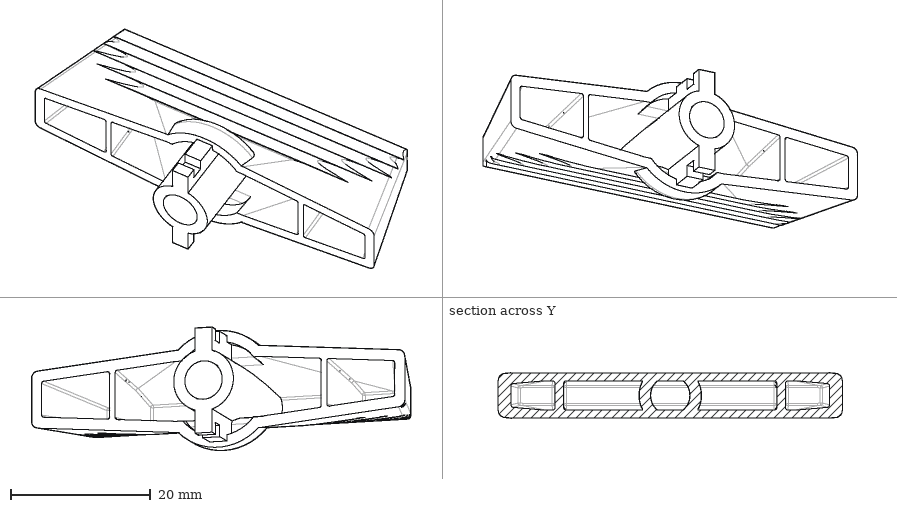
import cadquery as cq


grip_length = 56
grip_height = 18.0
end_slope = 0.26
side_half_width = 6.55
side_taper = 0.088
side_draft = 0.1
end_round = 1.0

rib_count = 4
rib_pitch = 2.3
rib_rise = 0.465
rib_sag = 0.6
top_groove_y = 15.5
top_groove_z = 2.3
top_crest_y = 16.7
top_crest_z = 2.7
top_flat_z = 1.3
flank_end_y = 5.45
flank_half_width = 6.0
flank_draft = 0.18
flank_blend = 0.35

wall = 1.6
end_wall = 1.5
pocket_depth = grip_height - end_wall
pocket_floor_half_length = 21.7
web_inner_x = 15.45
web_outer_x = 16.3
web_draft = 0.3
pocket_round = 0.35

boss_radius = 8.5
boss_height = 4.05
boss_round = 1.5
boss_pocket_radius = boss_radius - wall
boss_pocket_depth = 2.35
boss_lip_round = 1.05

stem_radius = 4.5
stem_bore_radius = 2.8
stem_length = 7.0
key_width = 2.6
key_reach = 7.7
key_root_y = 3.35
notch_low_y = -5.3
notch_high_y = -3.35
notch_floor_z = 6.0


def tapered_section(y, x_start, x_end, inset):
    """Section points of the grip at height y between two X stations, inset from its side planes."""
    def half_width(x):
        return side_half_width - inset - side_taper * abs(x) - side_draft * y

    stations = [x_start, 0, x_end] if x_start < 0 < x_end else [x_start, x_end]
    upper = [(x, half_width(x)) for x in stations]
    lower = [(x, -z) for x, z in reversed(upper)]
    return upper + lower


def tapered_block(height, mouth_span, far_span, inset):
    """Solid between Y = 0 and Y = height, bounded by the (inset) side planes."""
    return (
        cq.Workplane("XZ")
        .polyline(tapered_section(0, *mouth_span, inset)).close()
        .workplane(offset=-height)
        .polyline(tapered_section(height, *far_span, inset)).close()
        .loft(ruled=True, combine=True)
    )


def cylinder(radius, y_start, y_end):
    return cq.Workplane("XZ", origin=(0, y_start, 0)).circle(radius).extrude(y_start - y_end)


def flank_half_width_at(y):
    return flank_half_width - flank_draft * y


def ribbed_prism():
    """Ribbed cross-section extruded along X, built as one half and mirrored about Z = 0."""
    outline = (
        cq.Workplane("YZ", origin=(-grip_length / 2, 0, 0))
        .moveTo(0, 0)
        .lineTo(grip_height, 0)
        .lineTo(grip_height, top_flat_z)
        .threePointArc((top_crest_y, top_crest_z), (top_groove_y, top_groove_z))
    )
    groove_y, groove_z = top_groove_y, top_groove_z
    for _ in range(rib_count):
        crest = (groove_y - rib_pitch / 2, groove_z + rib_rise / 2 + rib_sag)
        groove_y -= rib_pitch
        groove_z += rib_rise
        outline = outline.threePointArc(crest, (groove_y, groove_z))
    flank_end = (flank_end_y, flank_half_width_at(flank_end_y))
    blend_point = (groove_y - flank_blend, flank_end[1] - flank_blend)
    half = (
        outline
        .threePointArc(blend_point, flank_end)
        .lineTo(0, flank_half_width)
        .close()
        .extrude(grip_length)
    )
    return half.union(half.mirror("XY"))


def grip():
    bottom_x = grip_length / 2
    top_x = bottom_x - end_slope * grip_height
    block = tapered_block(grip_height, (-bottom_x, bottom_x), (-top_x, top_x), 0)
    end_edges = block.faces("<X or >X").edges("not <Y")
    return end_edges.fillet(end_round).intersect(ribbed_prism())


def boss():
    return cylinder(boss_radius, 0, boss_height).faces(">Y").edges().fillet(boss_round)


def pockets():
    """Three pockets separated by two webs; their sides follow the flat outer planes."""
    floor_half_width = flank_half_width_at(pocket_depth) - wall
    core = (
        cq.Workplane("YZ", origin=(-grip_length / 2, 0, 0))
        .polyline([
            (0, flank_half_width - wall),
            (pocket_depth, floor_half_width),
            (pocket_depth, -floor_half_width),
            (0, wall - flank_half_width),
        ])
        .close()
        .extrude(grip_length)
    )
    mouth_x = grip_length / 2 - end_wall
    middle = tapered_block(
        pocket_depth,
        (-web_inner_x, web_inner_x),
        (web_draft - web_inner_x, web_inner_x - web_draft),
        wall,
    )
    end = tapered_block(
        pocket_depth,
        (web_outer_x, mouth_x),
        (web_outer_x + web_draft, pocket_floor_half_length),
        wall,
    )
    rounded_faces = ">Y or <X or >X"
    middle = middle.intersect(core).faces(rounded_faces).edges("not <Y").fillet(pocket_round)
    end = end.intersect(core).faces(rounded_faces).edges("not <Y").fillet(pocket_round)
    return middle.union(end).union(end.mirror("YZ"))


def stem_tube(y_end):
    return cylinder(stem_radius, -stem_length, y_end).cut(cylinder(stem_bore_radius, -stem_length, y_end))


def keys():
    """Two opposite keys rooted in the stem wall, each notched on its outer edge."""
    def bar(y_start, y_end, z_start, z_end):
        size = (key_width, y_end - y_start, z_end - z_start)
        return cq.Workplane().box(*size, centered=(True, False, False)).translate((0, y_start, z_start))

    middle_of_tube = (stem_radius + stem_bore_radius) / 2
    key = bar(-stem_length, key_root_y, middle_of_tube, key_reach)
    key = key.cut(bar(notch_low_y, notch_high_y, notch_floor_z, key_reach))
    return key, key.mirror("XY")


def round_boss_lips(body):
    """Round the two edges where the boss pocket floor drops into the middle pocket."""
    lip_z = flank_half_width_at(boss_pocket_depth) - wall
    for side in (1, -1):
        lip = cq.selectors.NearestToPointSelector((0, boss_pocket_depth, side * lip_z))
        body = body.edges(lip).fillet(boss_lip_round)
    return body


solid_handle = grip().union(boss())
hollow = pockets().union(cylinder(boss_pocket_radius, 0, boss_pocket_depth))
shell = round_boss_lips(solid_handle.cut(hollow))

stem_limit = solid_handle.union(cylinder(stem_radius, -stem_length, 0))
stem = stem_tube(pocket_depth).intersect(stem_limit)

result = shell.union(stem)
for key in keys():
    result = result.union(key)